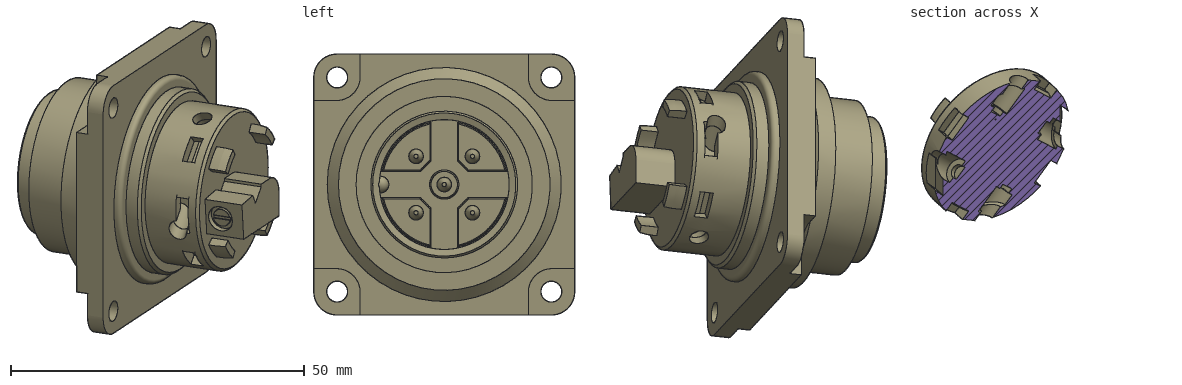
import cadquery as cq
import math


barrel_dia = 25.0
barrel_chamfer = 0.3
sleeve_dia = 30.0
sleeve_x = 3.5
collar_dia = 36.0
collar_x = 11.02
cone_x = 14.1
flange_x = 16.0
flange_back_x = 21.02
cone_dia = collar_dia + 2 * (flange_x - cone_x)
seat_back_x = 22.35
seat_fillet = 0.8
shoulder_dia = 32.0
shoulder_back_x = 25.0
shoulder_chamfer = 0.5
tail_dia = 28.0
tail_back_x = 35.03
tail_chamfer = 0.5

flange_size = 44.45
lug_radius = 4.0
lug_recess_reach = 7.9
lug_recess_depth = 2.05
mount_hole_dia = 3.5
mount_offset = flange_size / 2 - lug_radius

bore_dia = 22.1
rim_opening_dia = 24.2
rim_lead_in = 0.3
floor_x = 16.9
pad_height = 0.8
pad_draft = 0.22
pad_wall_gap = 0.22
cross_width = 4.45
pad_corner_cut = 4.05
boss_base_dia = 5.0
boss_top_dia = 4.5
pin_dia = 2.5
pin_neck_dia = 2.05
pin_tip_dia = 0.7
pin_tip_x = 2.8
pin_neck_x = 4.0
pin_body_x = 4.9
pin_pitch = 4.8
outer_pin_setback = 0.2
key_dia = 2.85
key_offset = 10.85
key_tip_x = 0.22

window_x = 30.8
window_length = 2.3
window_width = 4.7
window_floor_radius = 12.35
window_ramp_length = 1.05
window_ramp_drop = 0.35
slot_top_z = 2.3
slot_bottom_z = -4.0
slot_floor = 12.1
slot_slope = 50.0
tunnel_dia = 3.2
tunnel_x = 30.9
tunnel_z = -3.82
tunnel_slope = 45.0
tunnel_depth = 6.2
tunnel_wide_dia = 4.5
tunnel_wide_radius = 12.2
tunnel_socket_dia = 2.5
tunnel_socket_depth = 0.9

tab_inner_radius = 10.5
tab_outer_radius = 12.0
tab_step_x = 36.75
tab_back_x = 38.1
tab_taper = 0.22
tab_angle = 20.8

block_back_x = 42.0
block_top_z = 3.25
block_rear_y = 3.25
block_round = 3.65
block_ridge_y = -3.8
block_ridge_wall = 0.5
block_valley_y = -6.0
block_ledge_y = -7.1
block_front_y = -11.35
block_ledge_z = 1.8
block_tilt = 6.0
block_bottom_z = -4.6
screw_x = 37.8
screw_recess_dia = 4.5
screw_dia = 3.1
screw_recess_depth = 1.1
screw_head_height = 0.65
screw_slot_width = 0.55
screw_slot_depth = 0.22

QUARTER_TURNS = (0, 90, 180, 270)


def revolve_about_x(points):
    """Solid of revolution about X from (x, radius) points."""
    return cq.Workplane("XY").polyline(points).close().revolve(360, (0, 0, 0), (1, 0, 0))


def plane_at(x):
    """YZ plane at a station along the axis."""
    return cq.Workplane("YZ", origin=(x, 0, 0))


def turned(shape, angle):
    return shape.rotate((0, 0, 0), (1, 0, 0), angle)


def make_housing():
    front = revolve_about_x([
        (0, 0),
        (0, barrel_dia / 2 - barrel_chamfer),
        (barrel_chamfer, barrel_dia / 2),
        (sleeve_x, barrel_dia / 2),
        (sleeve_x, sleeve_dia / 2),
        (collar_x, sleeve_dia / 2),
        (collar_x, collar_dia / 2),
        (cone_x, collar_dia / 2),
        (flange_x, cone_dia / 2),
        (flange_back_x, cone_dia / 2),
        (flange_back_x, 0),
    ])
    seat = plane_at(flange_x).circle(collar_dia / 2).extrude(seat_back_x - flange_x)
    seat = seat.faces(">X").edges().fillet(seat_fillet)
    shoulder = plane_at(flange_x).circle(shoulder_dia / 2).extrude(shoulder_back_x - flange_x)
    shoulder = shoulder.faces(">X").edges().chamfer(shoulder_chamfer)
    tail = plane_at(flange_x).circle(tail_dia / 2).extrude(tail_back_x - flange_x)
    tail = tail.faces(">X").edges().chamfer(tail_chamfer)
    return front.union(seat).union(shoulder).union(tail)


def make_flange():
    plate = plane_at(flange_x).rect(flange_size, flange_size).extrude(flange_back_x - flange_x)
    plate = plate.edges("|X").fillet(lug_radius)
    recess_size = 2 * lug_recess_reach
    corners = plane_at(flange_x).rect(flange_size, flange_size, forConstruction=True).vertices()
    recesses = corners.rect(recess_size, recess_size).extrude(lug_recess_depth)
    recesses = recesses.edges("|X").fillet(lug_radius)
    holes = (
        plane_at(flange_x)
        .rect(2 * mount_offset, 2 * mount_offset, forConstruction=True)
        .vertices()
        .circle(mount_hole_dia / 2)
        .extrude(flange_back_x - flange_x)
    )
    return plate.cut(recesses).cut(holes)


def make_bore():
    return revolve_about_x([
        (0, 0),
        (0, rim_opening_dia / 2),
        (rim_lead_in, bore_dia / 2),
        (floor_x, bore_dia / 2),
        (floor_x, 0),
    ])


def make_pad():
    """Raised quadrant of the socket floor, with its inner corner cut off and drafted walls."""
    near = cross_width / 2
    far = bore_dia / 2 - pad_wall_gap
    arc_end = math.sqrt(far**2 - near**2)
    diagonal = far * math.sqrt(0.5)
    return (
        plane_at(floor_x)
        .moveTo(pad_corner_cut, near)
        .lineTo(arc_end, near)
        .threePointArc((diagonal, diagonal), (near, arc_end))
        .lineTo(near, pad_corner_cut)
        .close()
        .extrude(-pad_height, taper=math.degrees(math.atan(pad_draft / pad_height)))
    )


def make_boss():
    return revolve_about_x([
        (floor_x, 0),
        (floor_x, boss_base_dia / 2),
        (floor_x - pad_height, boss_top_dia / 2),
        (floor_x - pad_height, 0),
    ])


def make_pin(setback=0):
    return revolve_about_x([
        (pin_tip_x + setback, 0),
        (pin_tip_x + setback, pin_tip_dia / 2),
        (pin_neck_x + setback, pin_neck_dia / 2),
        (pin_body_x + setback, pin_dia / 2),
        (floor_x, pin_dia / 2),
        (floor_x, 0),
    ])


def make_key():
    """Round-nosed keying rib half sunk in the bore wall."""
    radius = key_dia / 2
    nose_end_x = key_tip_x + radius
    nose_middle = radius * math.sqrt(0.5)
    return (
        cq.Workplane("XY")
        .moveTo(key_tip_x, 0)
        .threePointArc((nose_end_x - nose_middle, nose_middle), (nose_end_x, radius))
        .lineTo(floor_x, radius)
        .lineTo(floor_x, 0)
        .close()
        .revolve(360, (0, 0, 0), (1, 0, 0))
        .translate((0, key_offset, 0))
    )


def make_latch_window():
    """Pocket over a latch, open towards +Y, with a ramped floor."""
    rim_radius = tail_dia / 2 + 0.45
    window_end_x = window_x + window_length
    return (
        cq.Workplane("XY")
        .polyline([
            (window_x, rim_radius),
            (window_x, window_floor_radius - window_ramp_drop),
            (window_x + window_ramp_length, window_floor_radius),
            (window_end_x, window_floor_radius),
            (window_end_x, rim_radius),
        ])
        .close()
        .extrude(window_width / 2, both=True)
    )


def make_side_slot():
    """Slanted slot in the -Y side of the tail."""
    radius = tail_dia / 2
    slope = math.tan(math.radians(slot_slope))
    outer_y = -radius - 0.45

    def slanted_wall(edge_z):
        edge_y = -math.sqrt(radius**2 - edge_z**2)
        return [(y, edge_z + slope * (y - edge_y)) for y in (outer_y, -slot_floor)]

    outline = slanted_wall(slot_bottom_z) + slanted_wall(slot_top_z)[::-1]
    return plane_at(window_x).polyline(outline).close().extrude(window_length)


def make_tunnel():
    """Slanted blind hole entering the -Y side of the tail, wider inside, with a socket in its end."""
    entry_y = -math.sqrt((tail_dia / 2) ** 2 - tunnel_z**2)
    slope = math.radians(tunnel_slope)
    direction = cq.Vector(0, math.cos(slope), math.sin(slope))
    start = cq.Vector(tunnel_x, entry_y, tunnel_z) - direction * tunnel_dia

    def drill(diameter, depth):
        return cq.Workplane(cq.Solid.makeCylinder(diameter / 2, depth + tunnel_dia, start, direction))

    core = plane_at(tunnel_x - tunnel_wide_dia).circle(tunnel_wide_radius).extrude(2 * tunnel_wide_dia)
    entry = drill(tunnel_dia, tunnel_depth)
    wide = drill(tunnel_wide_dia, tunnel_depth).intersect(core)
    socket = drill(tunnel_socket_dia, tunnel_depth + tunnel_socket_depth)
    return entry.union(wide).union(socket)


def make_latch_tab():
    """Arc-shaped tab centred on the +Y direction."""
    tab = (
        cq.Workplane("XY")
        .polyline([
            (tail_back_x, tab_inner_radius),
            (tail_back_x, tab_outer_radius),
            (tab_step_x, tab_outer_radius),
            (tab_back_x, tab_outer_radius - tab_taper),
            (tab_back_x, tab_inner_radius),
        ])
        .close()
        .revolve(tab_angle, (0, 0, 0), (1, 0, 0))
    )
    return turned(tab, -tab_angle / 2)


def make_terminal_block():
    tilt = math.tan(math.radians(block_tilt))
    ledge_rise = tilt * (block_ledge_y - block_front_y)
    front_set_back = tilt * (block_ledge_z - block_bottom_z)
    wall_foot_z = block_top_z - block_ridge_wall
    valley_z = wall_foot_z - (block_ridge_y - block_valley_y)
    round_y = block_rear_y - block_round
    round_z = block_top_z - block_round
    round_middle = block_round * math.sqrt(0.5)
    block = (
        plane_at(tail_back_x)
        .moveTo(block_front_y + front_set_back, block_bottom_z)
        .lineTo(block_front_y, block_ledge_z)
        .lineTo(block_ledge_y, block_ledge_z + ledge_rise)
        .lineTo(block_valley_y, valley_z)
        .lineTo(block_ridge_y, wall_foot_z)
        .lineTo(block_ridge_y, block_top_z)
        .lineTo(round_y, block_top_z)
        .threePointArc((round_y + round_middle, round_z + round_middle), (block_rear_y, round_z))
        .lineTo(block_rear_y, block_bottom_z)
        .close()
        .extrude(block_back_x - tail_back_x)
    )

    face_middle = cq.Vector(
        screw_x,
        block_front_y + front_set_back / 2,
        (block_ledge_z + block_bottom_z) / 2,
    )
    outward = cq.Vector(0, -1, -tilt).normalized()

    def facing_front(depth):
        return cq.Workplane(cq.Plane(face_middle - outward * depth, (1, 0, 0), outward))

    recess = facing_front(screw_recess_depth).circle(screw_recess_dia / 2).extrude(screw_recess_dia)
    head = facing_front(screw_recess_depth).circle(screw_dia / 2).extrude(screw_head_height)
    head_slot_floor = screw_recess_depth - screw_head_height + screw_slot_depth
    slot = facing_front(head_slot_floor).rect(screw_dia, screw_slot_width).extrude(screw_head_height)
    return block.cut(recess).union(head.cut(slot))


result = make_housing().union(make_flange()).cut(make_bore())

result = result.union(make_boss()).union(make_pin()).union(make_key())
for turn in QUARTER_TURNS:
    result = result.union(turned(make_pad(), turn))
    result = result.union(turned(make_pin(outer_pin_setback).translate((0, pin_pitch, pin_pitch)), turn))

for turn in QUARTER_TURNS:
    result = result.cut(turned(make_latch_window(), turn + 45))
    result = result.cut(turned(make_tunnel(), turn))
    result = result.union(turned(make_latch_tab(), turn + 45))
for turn in (0, 180):
    result = result.cut(turned(make_side_slot(), turn))

result = result.union(make_terminal_block())